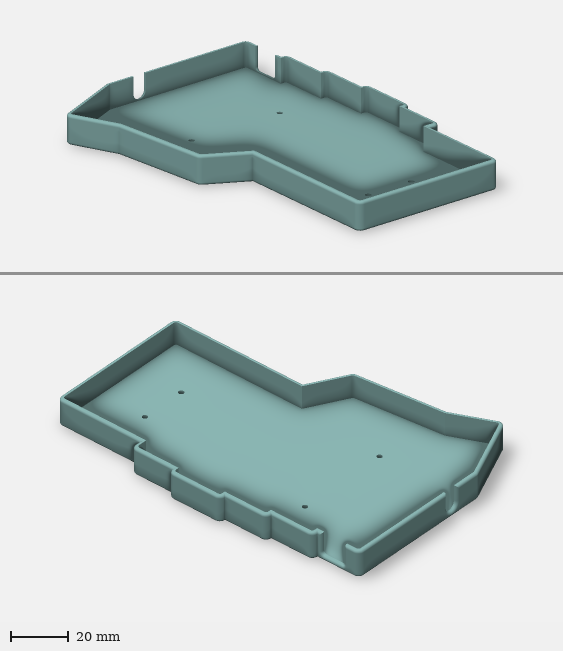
import cadquery as cq

key_pitch = 19.05
column_count = 7
row_count = 3
stagger = key_pitch / 8
column_steps = [0, 1, 2, 3, 2, 0, 0]

outer_thumb_top = (0, -2.05)
outer_thumb_tip = (11.6, -28.325)
thumb_bend = (28.9, -20.6)
inner_thumb_tip = (66.9, -16.6)
inner_thumb_top = (76.0, 0)

height = 11.1
floor_thickness = 1.5
key_clearance = 1.0
wall_thickness = 1.5
wall_offset = key_clearance + wall_thickness
edge_fillet = 1.0

hole_diameter = 2.2
left_hole_x = 2 * key_pitch
right_hole_x = 6 * key_pitch
hole_centres = [
    (left_hole_x, stagger),
    (left_hole_x, 41.5),
    (right_hole_x, key_pitch),
    (right_hole_x, 2 * key_pitch),
]

sill_height = 1.95
slot_y = 10.9
slot_width = 5.4
notch_x = key_pitch / 2
notch_width = 10.5
notch_corner_radius = 1.25

tolerance = 1e-4


def key_field_outline():
    """Closed outline of the key field, clockwise from the left edge."""
    points = [outer_thumb_top]
    for column, step in enumerate(column_steps):
        top = row_count * key_pitch + step * stagger
        for corner in [(column * key_pitch, top), ((column + 1) * key_pitch, top)]:
            if corner != points[-1]:
                points.append(corner)
    points.append((column_count * key_pitch, 0))
    points += [inner_thumb_top, inner_thumb_tip, thumb_bend, outer_thumb_tip]
    return cq.Workplane("XY").polyline(points).close()


def offset_block(offset):
    """Full-height block that surrounds the key field at the given distance."""
    return key_field_outline().offset2D(offset).extrude(height)


def opening_cutter(width, corner_radius):
    """Wall-thick cutter along +Y, open at the top, with two rounded lower corners."""
    half = width / 2
    arc_top = sill_height + corner_radius
    flat_half = half - corner_radius
    profile = cq.Workplane("XZ").moveTo(-half, height).lineTo(-half, arc_top)
    profile = profile.radiusArc((-flat_half, sill_height), -corner_radius)
    if flat_half > 0:
        profile = profile.lineTo(flat_half, sill_height)
    profile = profile.radiusArc((half, arc_top), -corner_radius)
    return profile.lineTo(half, height).close().extrude(-wall_thickness)


def cable_slot():
    cutter = opening_cutter(slot_width, slot_width / 2)
    return cutter.rotate((0, 0, 0), (0, 0, 1), -90).translate((-wall_offset, slot_y, 0))


def connector_notch():
    cutter = opening_cutter(notch_width, notch_corner_radius)
    return cutter.translate((notch_x, row_count * key_pitch + key_clearance, 0))


def round_rim_and_openings(body):
    """Fillet the outer wall edges that do not reach the base: the rim and the openings."""
    key_field = key_field_outline().extrude(height).val()

    def is_rim_or_opening(edge):
        on_outer_wall = edge.distance(key_field) > wall_offset - tolerance
        return on_outer_wall and edge.BoundingBox().zmin > tolerance

    return body.edges().filter(is_rim_or_opening).fillet(edge_fillet)


def tray():
    cavity = offset_block(key_clearance).translate((0, 0, floor_thickness))
    body = offset_block(wall_offset).cut(cavity).cut(cable_slot()).cut(connector_notch())
    body = round_rim_and_openings(body)
    base_rounded_block = offset_block(wall_offset).faces("<Z").edges().fillet(edge_fillet)
    return body.intersect(base_rounded_block)


def screw_holes():
    return cq.Workplane("XY").pushPoints(hole_centres).circle(hole_diameter / 2).extrude(floor_thickness)


result = tray().cut(screw_holes())